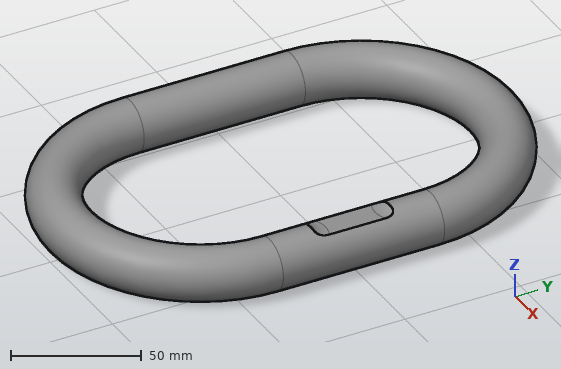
import cadquery as cq
import math

length = 204.0
width = 134.0
bar_diameter = 22.0
bar_radius = bar_diameter / 2
bend_radius = (width - bar_diameter) / 2
half_straight = (length - width) / 2

flat_width = 11.2
floor_length = 21.6
rim_length = 34.0
end_radius = 12.2


def make_link():
    """Sweep the round bar around the closed oval centreline."""
    centreline = (
        cq.Workplane("XY")
        .moveTo(bend_radius, 0)
        .lineTo(bend_radius, half_straight)
        .threePointArc((0, half_straight + bend_radius), (-bend_radius, half_straight))
        .lineTo(-bend_radius, -half_straight)
        .threePointArc((0, -half_straight - bend_radius), (bend_radius, -half_straight))
        .close()
    )
    section = cq.Workplane("XZ").center(bend_radius, 0).circle(bar_radius)
    return section.sweep(centreline)


def make_pocket_cutter():
    """Block above the pocket floor, minus a flared round ramp at each end."""
    floor_z = math.sqrt(bar_radius**2 - (flat_width / 2) ** 2)
    depth = bar_radius - floor_z
    end_run = (rim_length - floor_length) / 2
    cutter = cq.Workplane("XY", origin=(bend_radius, 0, floor_z)).box(
        bar_diameter, rim_length, depth, centered=(True, True, False)
    )
    flank_radius = (end_run**2 + depth**2) / (2 * depth)
    mid_angle = math.atan2(end_run, flank_radius - depth) / 2
    flank_middle = (
        end_radius - flank_radius * math.sin(mid_angle),
        flank_radius * (1 - math.cos(mid_angle)),
    )
    end_ramp = (
        cq.Workplane("XZ")
        .lineTo(end_radius, 0)
        .threePointArc(flank_middle, (end_radius - end_run, depth))
        .lineTo(0, depth)
        .close()
        .revolve(360, (0, 0), (0, 1))
    )
    for side in (-1, 1):
        end_y = side * (floor_length / 2 + end_radius)
        cutter = cutter.cut(end_ramp.translate((bend_radius, end_y, floor_z)))
    return cutter


result = make_link().cut(make_pocket_cutter())